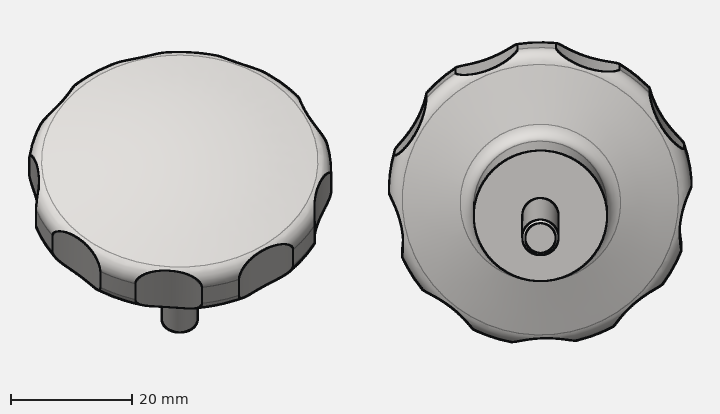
import cadquery as cq
import math

knob_radius = 25.0
hub_radius = 11.0
dome_height = 26.0
dome_edge_slope = math.radians(15)
underside_slope = math.radians(15)
blend_radius = 3.0
rim_bottom = 16.0
rim_top = 20.1
stud_radius = 3.0
stud_length = 18.0
stud_chamfer = 0.5

scallop_count = 9
scallop_first_angle = -90.0
scallop_width = 11.0
scallop_depth = 1.6


def blend_run(slope):
    """Radial extent of a blend between a vertical wall and a sloping face."""
    return blend_radius * (1 - math.sin(slope))


def blend_rise(slope):
    """Height of a blend between a vertical wall and a sloping face."""
    return blend_radius * math.cos(slope)


def blend_middle(slope):
    """Inward and vertical offsets of the blend midpoint from its vertical end."""
    half_sweep = (math.pi / 2 - slope) / 2
    return blend_radius * (1 - math.cos(half_sweep)), blend_radius * math.sin(half_sweep)


def make_body():
    """Revolve the hub, sloping underside, rounded rim and domed top."""
    under_run = blend_run(underside_slope)
    under_rise = blend_rise(underside_slope)
    under_in, under_up = blend_middle(underside_slope)
    dome_in, dome_up = blend_middle(dome_edge_slope)

    cone_inner = hub_radius + under_run
    cone_outer = knob_radius - under_run
    cone_top = rim_bottom - under_rise
    cone_bottom = cone_top - (cone_outer - cone_inner) * math.tan(underside_slope)
    hub_top = cone_bottom - under_rise

    dome_edge_radius = knob_radius - blend_run(dome_edge_slope)
    dome_edge_height = rim_top + blend_rise(dome_edge_slope)
    cap_rise = dome_height - dome_edge_height
    dome_radius = (dome_edge_radius**2 + cap_rise**2) / (2 * cap_rise)
    dome_mid_radius = dome_edge_radius / 2
    dome_mid_height = dome_height - dome_radius + math.sqrt(dome_radius**2 - dome_mid_radius**2)

    profile = (
        cq.Workplane("XZ")
        .moveTo(0, 0)
        .lineTo(hub_radius, 0)
        .lineTo(hub_radius, hub_top)
        .threePointArc((hub_radius + under_in, hub_top + under_up), (cone_inner, cone_bottom))
        .lineTo(cone_outer, cone_top)
        .threePointArc((knob_radius - under_in, rim_bottom - under_up), (knob_radius, rim_bottom))
        .lineTo(knob_radius, rim_top)
        .threePointArc((knob_radius - dome_in, rim_top + dome_up), (dome_edge_radius, dome_edge_height))
        .threePointArc((dome_mid_radius, dome_mid_height), (0, dome_height))
        .close()
    )
    return profile.revolve(360, (0, 0, 0), (0, 1, 0))


def make_scallops():
    """Upright cylinders that cut the finger grips between the rim lobes."""
    half_chord = scallop_width / 2
    chord_distance = math.sqrt(knob_radius**2 - half_chord**2)
    floor_distance = knob_radius - scallop_depth
    sagitta = chord_distance - floor_distance
    cutter_radius = (half_chord**2 + sagitta**2) / (2 * sagitta)
    return (
        cq.Workplane("XY")
        .polarArray(floor_distance + cutter_radius, scallop_first_angle, 360, scallop_count)
        .circle(cutter_radius)
        .extrude(dome_height)
    )


def make_stud():
    """Plain stud below the hub with a chamfered tip."""
    stud = cq.Workplane("XY").circle(stud_radius).extrude(-stud_length)
    return stud.faces("<Z").chamfer(stud_chamfer)


result = make_body().cut(make_scallops()).union(make_stud())